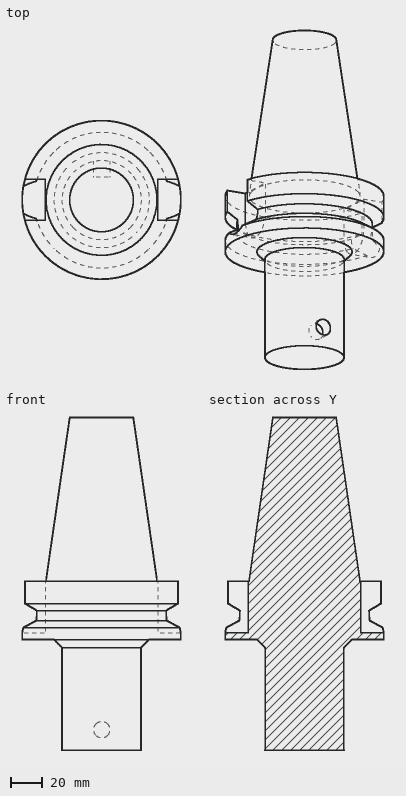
import cadquery as cq

total_height = 209.8
flange_diameter = 100.0
groove_diameter = 85.5
shank_diameter = 50.0

taper_diameter = 69.9
taper_ratio = 7 / 24
gauge_z = 108.0
taper_top_diameter = taper_diameter - taper_ratio * (total_height - gauge_z)

flange_top_z = 106.5
flange_bottom_z = 69.9
groove_upper_edge_z = 92.5
groove_lower_edge_z = 77.5
groove_flank_height = 4.5

shank_cone_size = 5.0

slot_width = 25.8
slot_floor_x = 35.5
slot_bottom_z = 74.3

screw_hole_diameter = 10.3
screw_hole_z = 13.2
screw_hole_depth = screw_hole_diameter


def revolved_body():
    shank_radius = shank_diameter / 2
    flange_radius = flange_diameter / 2
    groove_radius = groove_diameter / 2
    taper_radius = taper_diameter / 2
    profile = [
        (0, 0),
        (shank_radius, 0),
        (shank_radius, flange_bottom_z - shank_cone_size),
        (shank_radius + shank_cone_size, flange_bottom_z),
        (flange_radius, flange_bottom_z),
        (flange_radius, groove_lower_edge_z),
        (groove_radius, groove_lower_edge_z + groove_flank_height),
        (groove_radius, groove_upper_edge_z - groove_flank_height),
        (flange_radius, groove_upper_edge_z),
        (flange_radius, flange_top_z),
        (taper_radius, flange_top_z),
        (taper_radius, gauge_z),
        (taper_top_diameter / 2, total_height),
        (0, total_height),
    ]
    return cq.Workplane("XZ").polyline(profile).close().revolve(360, (0, 0), (0, 1))


def drive_slot(side):
    """Round-bottomed slot, open outward and upward; side is +1 or -1 along X."""
    half_width = slot_width / 2
    arc_center_z = slot_bottom_z + half_width
    slot_depth = flange_diameter / 2 - slot_floor_x
    return (
        cq.Workplane("YZ", origin=(side * slot_floor_x, 0, 0))
        .moveTo(-half_width, flange_top_z)
        .lineTo(-half_width, arc_center_z)
        .threePointArc((0, slot_bottom_z), (half_width, arc_center_z))
        .lineTo(half_width, flange_top_z)
        .close()
        .extrude(side * slot_depth)
    )


def screw_hole():
    """Blind radial hole entering the shank from +Y."""
    return (
        cq.Workplane("XZ", origin=(0, shank_diameter / 2, screw_hole_z))
        .circle(screw_hole_diameter / 2)
        .extrude(screw_hole_depth)
    )


result = revolved_body()
for side in (-1, 1):
    result = result.cut(drive_slot(side))
result = result.cut(screw_hole())